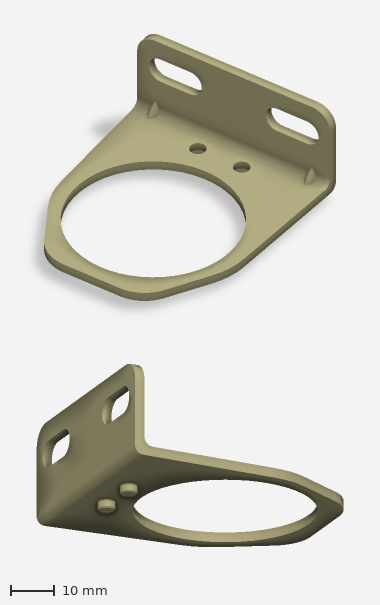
import cadquery as cq
import math

width = 53.0
length = 60.0
sheet = 2.35
pin_drop = 2.0
flange_height = 25.0 - pin_drop

inner_bend_radius = 2.0
outer_bend_radius = 2.0
flange_corner_radius = 5.0

taper_start_y = -sheet
shoulder_half_width = 24.95
shoulder_y = -40.2
shoulder_radius = 20.0
nose_half_width = 13.55
nose_radius = 10.0

bore_diameter = 42.2
bore_y = -35.0

slot_length = 14.5
slot_height = 6.5
slot_x = 16.0
slot_z = 15.0

pin_diameter = 4.0
pin_chamfer = 0.3
pin_x = 6.0
pin_y = -8.0
pin_recess_depth = 2.0

gusset_x = width / 2 - flange_corner_radius
gusset_leg = 3.1


def make_plate():
    half = width / 2
    band_margin = 0.6
    outline = [
        (-half, 0),
        (-half, taper_start_y),
        (-shoulder_half_width, shoulder_y),
        (-nose_half_width, -length),
        (nose_half_width, -length),
        (shoulder_half_width, shoulder_y),
        (half, taper_start_y),
        (half, 0),
    ]
    plate = cq.Workplane("XY").polyline(outline).close().extrude(sheet)
    for corner_y, radius in ((-length, nose_radius), (shoulder_y, shoulder_radius)):
        corner_band = cq.selectors.BoxSelector(
            (-half, corner_y - band_margin, -band_margin),
            (half, corner_y + band_margin, sheet + band_margin),
        )
        plate = plate.edges("|Z").edges(corner_band).fillet(radius)
    return plate


def make_flange():
    return (
        cq.Workplane("XY")
        .box(width, sheet, flange_height, centered=(True, False, False))
        .translate((0, -sheet, 0))
        .edges("|Y and >Z")
        .fillet(flange_corner_radius)
    )


def make_bend_fillet():
    """Concave strip that rounds the inside of the fold."""
    r = inner_bend_radius
    strip = (
        cq.Workplane("XY")
        .box(width, r, r, centered=(True, False, False))
        .translate((0, -sheet - r, sheet))
    )
    rounding = (
        cq.Workplane("YZ", origin=(-width / 2, 0, 0))
        .center(-sheet - r, sheet + r)
        .circle(r)
        .extrude(width)
    )
    return strip.cut(rounding)


def make_gusset(x):
    """Ridge with a right-angled cross-section, running at 45 degrees across the fold."""
    depth = gusset_leg / math.sqrt(2)
    ridge_plane = cq.Plane(
        origin=(x, -sheet, sheet + gusset_leg), xDir=(1, 0, 0), normal=(0, -1, -1)
    )
    return (
        cq.Workplane(ridge_plane)
        .polyline([(0, 0), (depth, -depth), (-depth, -depth)])
        .close()
        .extrude(gusset_leg * math.sqrt(2))
    )


def make_pin(x):
    return (
        cq.Workplane("XY", origin=(x, pin_y, -pin_drop))
        .circle(pin_diameter / 2)
        .extrude(pin_drop)
        .faces("<Z")
        .chamfer(pin_chamfer)
    )


def make_pin_recess(x):
    return (
        cq.Workplane("XY", origin=(x, pin_y, sheet - pin_recess_depth))
        .circle(pin_diameter / 2)
        .extrude(pin_recess_depth)
    )


def make_slots():
    return (
        cq.Workplane("XZ")
        .pushPoints([(-slot_x, slot_z), (slot_x, slot_z)])
        .slot2D(slot_length, slot_height)
        .extrude(sheet)
    )


def make_bore():
    return cq.Workplane("XY").center(0, bore_y).circle(bore_diameter / 2).extrude(sheet)


bracket = make_plate().union(make_flange())
bracket = bracket.edges("|X and <Z and >Y").fillet(outer_bend_radius)
bracket = bracket.union(make_bend_fillet())
bracket = bracket.cut(make_bore()).cut(make_slots())

for side in (-1, 1):
    bracket = bracket.union(make_gusset(side * gusset_x))
    bracket = bracket.union(make_pin(side * pin_x))
    bracket = bracket.cut(make_pin_recess(side * pin_x))

result = bracket